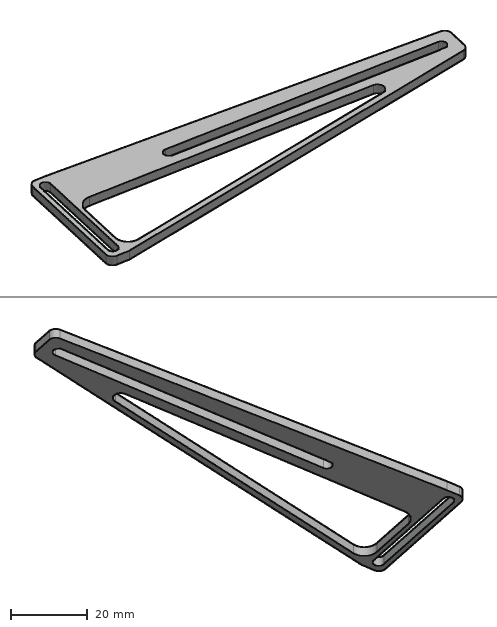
import cadquery as cq
import math

length = 128.0
base_width = 39.0
thickness = 3.0
corner_radius = 2.0

foot_height = 6.0
tip_left = 4.0
tip_right = 13.8

slot_width = 3.1
long_slot_x = 9.0
long_slot_bottom = 36.4
long_slot_top = 124.5
base_slot_y = 3.1
base_slot_margin = 1.9

window_left = 13.8
window_bottom = foot_height
strut_thickness = 1.9
window_base_radius = 4.0
window_tip_radius = 2.0


def make_plate():
    """Tapered plate with rounded corners at both ends."""
    plate = (
        cq.Workplane("XY")
        .polyline([
            (0, 0),
            (base_width, 0),
            (base_width, foot_height),
            (tip_right, length),
            (tip_left, length),
            (0, foot_height),
        ])
        .close()
        .extrude(thickness)
    )
    end_faces = plate.faces("<Y or >Y")
    return end_faces.edges("|Z").fillet(corner_radius)


def make_slot(center_x, center_y, overall_length, angle):
    """Round-ended cutter through the full thickness."""
    return (
        cq.Workplane("XY")
        .center(center_x, center_y)
        .slot2D(overall_length, slot_width, angle)
        .extrude(thickness)
    )


def make_window():
    """Right-triangle cutter whose sloping side is parallel to the plate's side."""
    side_slope = (base_width - tip_right) / (length - foot_height)
    strut_width_x = strut_thickness * math.hypot(1, side_slope)
    window_right = base_width - strut_width_x - side_slope * (window_bottom - foot_height)
    apex_y = window_bottom + (window_right - window_left) / side_slope
    window = (
        cq.Workplane("XY")
        .polyline([
            (window_left, window_bottom),
            (window_right, window_bottom),
            (window_left, apex_y),
        ])
        .close()
        .extrude(thickness)
    )
    window = window.edges("|Z and >Y").fillet(window_tip_radius)
    return window.faces("<Y").edges("|Z").fillet(window_base_radius)


long_slot = make_slot(
    long_slot_x,
    (long_slot_bottom + long_slot_top) / 2,
    long_slot_top - long_slot_bottom,
    90,
)
base_slot = make_slot(
    base_width / 2,
    base_slot_y,
    base_width - 2 * base_slot_margin,
    0,
)

result = make_plate().cut(long_slot).cut(base_slot).cut(make_window())